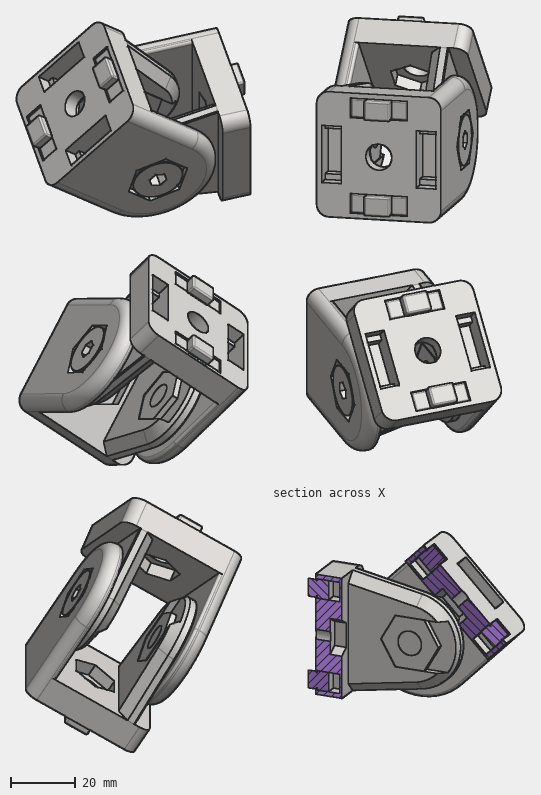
import cadquery as cq
import math


width = 40.0
half_width = width / 2
edge_radius = 4.0
pivot_to_face = 29.95
base_thickness = 9.0
base_inner_y = pivot_to_face - base_thickness
tilt_angle = 45

arm_inner_x = 14.5
arm_round_offset = 0.55
arm_inner_radius = 0.95

lug_inner_x = 8.5
lug_outer_x = arm_inner_x
lug_radius = 16.0
lug_inner_chamfer = 3.3
lug_outer_chamfer = 0.35

mount_hole_diameter = 8.3
mount_hex_flats = 14.0
mount_hole_length = 5.0

slot_length = 18.25
slot_width = 6.25
slot_center = 15.2
slot_depth = 4.45
slot_ledge = 1.85
slot_total_depth = 8.15

flange_recess = 0.35
key_width = 8.3
key_protrusion = 2.75
key_radius = 0.57

pivot_hole_diameter = 8.3
shank_diameter = 8.0
head_diameter = 16.0
head_rim_thickness = 0.4
socket_flats = 5.0
socket_depth = 5.5
pivot_hex_flats = 17.0
head_pocket_depth = 2.0
nut_inner_x = 8.7
nut_outer_x = 10.7


def hexagon(plane, flats):
    """Hexagon outline with two corners on the local x axis of the plane."""
    return cq.Workplane(plane).polygon(6, flats / math.cos(math.pi / 6))


def plane_across_x(x):
    """Plane at the given x, facing +X, with its local x axis along Y."""
    return cq.Plane(origin=(x, 0, 0), xDir=(0, 1, 0), normal=(1, 0, 0))


def plane_into_base(depth):
    """Plane at a depth below the mounting face, facing -Y, with its local x axis along Z."""
    return cq.Plane(origin=(0, pivot_to_face - depth, 0), xDir=(0, 0, 1), normal=(0, -1, 0))


def make_base():
    plate = cq.Workplane(plane_into_base(0)).rect(width, width).extrude(base_thickness)
    return plate.edges("|Y").fillet(edge_radius)


def make_arm():
    """D-shaped arm, rounded over on the outside and slightly on the inside."""
    arm = (
        cq.Workplane(plane_across_x(-half_width))
        .moveTo(base_inner_y, -half_width)
        .lineTo(arm_round_offset, -half_width)
        .threePointArc((arm_round_offset - half_width, 0), (arm_round_offset, half_width))
        .lineTo(base_inner_y, half_width)
        .close()
        .extrude(half_width - arm_inner_x)
    )
    arm = arm.faces("<X").edges("not >Y").fillet(edge_radius)
    return arm.faces(">X").edges("not >Y").fillet(arm_inner_radius)


def make_lug():
    """Tapered lug: full width at the base, tangent to a circle around the pivot."""
    corner_distance = math.hypot(base_inner_y, half_width)
    tangent_angle = math.atan2(half_width, base_inner_y) + math.acos(lug_radius / corner_distance)
    tangent_y = lug_radius * math.cos(tangent_angle)
    tangent_z = lug_radius * math.sin(tangent_angle)
    lug = (
        cq.Workplane(plane_across_x(lug_inner_x))
        .moveTo(base_inner_y, -half_width)
        .lineTo(tangent_y, -tangent_z)
        .threePointArc((-lug_radius, 0), (tangent_y, tangent_z))
        .lineTo(base_inner_y, half_width)
        .close()
        .extrude(lug_outer_x - lug_inner_x)
    )
    lug = lug.faces("<X").edges("not >Y").chamfer(lug_inner_chamfer)
    return lug.faces(">X").edges("not >Y").chamfer(lug_outer_chamfer)


def mount_hole():
    bore = cq.Workplane(plane_into_base(0)).circle(mount_hole_diameter / 2).extrude(base_thickness)
    recess = hexagon(plane_into_base(mount_hole_length), mount_hex_flats)
    return bore.union(recess.extrude(base_thickness - mount_hole_length))


def key_slot(turn):
    """Stepped slot beside one edge of the mounting face, turned about the Y axis."""
    upper = (
        cq.Workplane(plane_into_base(0))
        .center(slot_center, 0)
        .rect(slot_width, slot_length)
        .extrude(slot_depth)
    )
    lower = (
        cq.Workplane(plane_into_base(slot_depth))
        .center(slot_center, 0)
        .rect(slot_width, slot_length - 2 * slot_ledge)
        .extrude(slot_total_depth - slot_depth)
    )
    return upper.union(lower).rotate((0, 0, 0), (0, 1, 0), turn)


def pivot_hole():
    return cq.Workplane(plane_across_x(-half_width)).circle(pivot_hole_diameter / 2).extrude(width)


def screw_head():
    """Countersunk head, flush with the arm: a thin rim, then a 90 degree cone down to the shank."""
    radius = head_diameter / 2
    cone_height = (head_diameter - shank_diameter) / 2
    rim_end = head_rim_thickness - half_width
    return (
        cq.Workplane("XY")
        .moveTo(-half_width, 0)
        .lineTo(-half_width, radius)
        .lineTo(rim_end, radius)
        .lineTo(rim_end + cone_height, shank_diameter / 2)
        .lineTo(rim_end + cone_height, 0)
        .close()
        .revolve(360, (0, 0, 0), (1, 0, 0))
    )


def head_pocket():
    """Hexagonal pocket in the arm with a seat for the screw head in its floor."""
    pocket = hexagon(plane_across_x(-half_width), pivot_hex_flats).extrude(head_pocket_depth)
    return pocket.union(screw_head())


def nut_groove():
    """Nut pocket in the lug's inner face, open toward the rounded end of the lug."""
    depth = nut_outer_x - lug_inner_x
    seat = hexagon(plane_across_x(lug_inner_x), pivot_hex_flats).extrude(depth)
    channel = (
        cq.Workplane(plane_across_x(lug_inner_x))
        .center(-half_width / 2, 0)
        .rect(half_width, pivot_hex_flats)
        .extrude(depth)
    )
    return seat.union(channel)


def make_half():
    half = make_base().union(make_arm()).union(make_lug())
    half = half.cut(mount_hole())
    for turn in (0, 90, 180, 270):
        half = half.cut(key_slot(turn))
    return half.cut(pivot_hole()).cut(head_pocket()).cut(nut_groove())


def make_key(turn):
    """Alignment key: a flange sunk in the slot and a rounded block standing out of the face."""
    flange = (
        cq.Workplane(plane_into_base(flange_recess))
        .center(slot_center, 0)
        .rect(slot_width, slot_length)
        .extrude(slot_depth - flange_recess)
        .edges("|Y or >Y")
        .fillet(key_radius)
    )
    block = (
        cq.Workplane(plane_into_base(-key_protrusion))
        .center(slot_center, 0)
        .rect(slot_width, key_width)
        .extrude(key_protrusion + flange_recess)
        .edges("|Y or >Y")
        .fillet(key_radius)
    )
    return flange.union(block).rotate((0, 0, 0), (0, 1, 0), turn)


def make_screw():
    """Countersunk pivot screw along X, from the arm's outer face to the nut's inner face."""
    shank = (
        cq.Workplane(plane_across_x(-half_width))
        .circle(shank_diameter / 2)
        .extrude(half_width - nut_inner_x)
    )
    socket = hexagon(plane_across_x(-half_width), socket_flats).extrude(socket_depth)
    upright_socket = socket.rotate((0, 0, 0), (1, 0, 0), 90)
    return screw_head().union(shank).cut(upright_socket)


def make_nut():
    nut = hexagon(plane_across_x(nut_inner_x), pivot_hex_flats).extrude(nut_outer_x - nut_inner_x)
    bore = cq.Workplane(plane_across_x(nut_inner_x)).circle(shank_diameter / 2)
    return nut.cut(bore.extrude(nut_outer_x - nut_inner_x))


def tilted(body):
    """Place a body of the second half: turned end for end, then swung about the pivot."""
    turned = body.rotate((0, 0, 0), (0, 0, 1), 180)
    return turned.rotate((0, 0, 0), (1, 0, 0), -tilt_angle)


fixed_bodies = [make_half(), make_screw(), make_nut()]
for key_turn in (0, 180):
    fixed_bodies.append(make_key(key_turn))
swung_bodies = [tilted(body) for body in fixed_bodies]

result = cq.Compound.makeCompound([body.val() for body in fixed_bodies + swung_bodies])